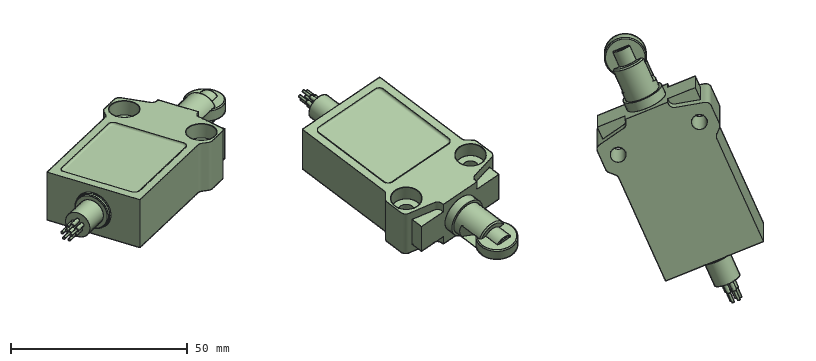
import cadquery as cq
import math


overall_length = 85.7
overall_width = 35.1
chamfer_angle = 45

housing_height = 16.0
housing_length = 49.1
housing_half_width = 15.1
ear_half_width = overall_width / 2
neck_half_width = 6.6
shoulder_neck_y = 47.15
ear_top_y = 44.7
ear_bottom_y = 36.8
corner_radius = 1.7
core_height = 10.0

hole_x = 12.5
hole_y = 40.1
hole_diameter = 4.5
counterbore_diameter = 8.75
counterbore_depth = 4.7
counterbore_chamfer = 0.1

recess_width = 25.1
recess_start_y = 2.6
recess_end_y = 32.6
recess_corner_radius = 1.55
recess_depth = 0.8
recess_floor_fillet = 0.73

collar_diameter = 11.9
collar_end_y = 51.95
plunger_diameter = 10.4
plunger_end_y = 62.4
plunger_chamfer = 0.4
tip_diameter = 6.9
tip_end_y = 67.4
tip_chamfer = 0.3
slot_width = 4.5
slot_edge_y = 54.35
slot_ridge_y = 57.4

roller_diameter = 11.9
roller_width = 3.95
roller_chamfer = 0.35
roller_y = 64.2
axle_diameter = 3.5

ferrule_base_diameter = 11.4
ferrule_diameter = 10.9
ferrule_end_diameter = 10.4
ferrule_length = 1.3
cable_diameter = 7.9
cable_length = 9.1
wire_count = 5
wire_circle_diameter = 3.0
insulation_diameter = 1.3
insulation_length = 12.4
conductor_diameter = 0.79
conductor_length = overall_length - (roller_y + roller_diameter / 2)


def rod(diameter, start_y, end_y, x=0, z=0):
    """Cylinder along +Y from start_y to end_y."""
    workplane = cq.Workplane("XZ", origin=(x, start_y, z))
    return workplane.circle(diameter / 2).extrude(start_y - end_y)


def centred_plate(outline, height):
    """Extrude an outline drawn at Z = 0 to a plate centred on Z = 0."""
    return outline.extrude(height).translate((0, 0, -height / 2))


def eared_block():
    """Full-height block with two ears and sloping shoulders."""
    ear_bottom_end_y = ear_bottom_y - (ear_half_width - housing_half_width)
    half_outline = [
        (housing_half_width, 0),
        (housing_half_width, ear_bottom_end_y),
        (ear_half_width, ear_bottom_y),
        (ear_half_width, ear_top_y),
        (neck_half_width, shoulder_neck_y),
        (neck_half_width, housing_length),
    ]
    mirrored = [(-x, y) for x, y in reversed(half_outline)]
    block = centred_plate(cq.Workplane("XY").polyline(half_outline + mirrored).close(), housing_height)
    rounded_corners = [corner for corner in half_outline + mirrored if 0 < corner[1] < housing_length]
    for x, y in rounded_corners:
        corner_edge = cq.selectors.NearestToPointSelector((x, y, 0))
        block = block.edges("|Z").edges(corner_edge).fillet(corner_radius)
    return block


def core_block():
    """Lower-height rectangular core that fills the space beside the neck."""
    return cq.Workplane("XY").box(
        2 * housing_half_width, housing_length, core_height, centered=(True, False, True)
    )


def mounting_holes():
    """Counterbored through holes with lightly chamfered rims."""
    centres = [(-hole_x, hole_y), (hole_x, hole_y)]
    through = centred_plate(cq.Workplane("XY").pushPoints(centres).circle(hole_diameter / 2), housing_height)
    counterbores = (
        cq.Workplane("XY", origin=(0, 0, housing_height / 2))
        .pushPoints(centres)
        .circle(counterbore_diameter / 2)
        .extrude(-counterbore_depth)
    )
    rim_chamfers = (
        cq.Workplane("XY", origin=(0, 0, housing_height / 2 - counterbore_chamfer))
        .pushPoints(centres)
        .circle(counterbore_diameter / 2)
        .extrude(counterbore_chamfer, taper=-chamfer_angle)
    )
    return through.union(counterbores).union(rim_chamfers)


def label_recess():
    """Shallow rounded recess whose walls curve into its floor."""
    length = recess_end_y - recess_start_y
    middle_y = (recess_start_y + recess_end_y) / 2
    return (
        cq.Workplane("XY", origin=(0, middle_y, housing_height / 2 - recess_depth))
        .rect(recess_width, length)
        .extrude(recess_depth)
        .edges("|Z")
        .fillet(recess_corner_radius)
        .faces("<Z")
        .edges()
        .fillet(recess_floor_fillet)
    )


def fork_slot():
    """Slot for the roller; its floor falls from a ridge at X = 0 to both sides."""
    half_width = plunger_diameter / 2
    slot = (
        cq.Workplane("XY")
        .moveTo(-half_width, slot_edge_y)
        .lineTo(0, slot_ridge_y)
        .lineTo(half_width, slot_edge_y)
        .lineTo(half_width, tip_end_y)
        .lineTo(-half_width, tip_end_y)
        .close()
    )
    return centred_plate(slot, slot_width)


def roller_axis_disc(diameter, width):
    """Disc centred on the roller's axis."""
    return centred_plate(cq.Workplane("XY").center(0, roller_y).circle(diameter / 2), width)


def plunger():
    """Collared plunger with a forked end, bridged by the roller's axle."""
    collar = rod(collar_diameter, housing_length, collar_end_y)
    shaft = rod(plunger_diameter, collar_end_y, plunger_end_y).faces(">Y").chamfer(plunger_chamfer)
    tip = rod(tip_diameter, plunger_end_y, tip_end_y).faces(">Y").chamfer(tip_chamfer)
    axle = roller_axis_disc(axle_diameter, slot_width)
    return collar.union(shaft).union(tip).cut(fork_slot()).union(axle)


def cable():
    """Ferrule, sheath and a ring of stripped wires."""
    base_chamfer = (ferrule_base_diameter - ferrule_diameter) / 2
    end_chamfer = (ferrule_diameter - ferrule_end_diameter) / 2
    base_outline = cq.Workplane("XZ").circle(ferrule_base_diameter / 2)
    ferrule_base = base_outline.extrude(base_chamfer, taper=chamfer_angle)
    ferrule = rod(ferrule_diameter, 0, -ferrule_length).faces("<Y").chamfer(end_chamfer)
    sheath = rod(cable_diameter, -ferrule_length, -cable_length)
    assembly = ferrule_base.union(ferrule).union(sheath)
    for index in range(wire_count):
        angle = math.pi / 2 + index * 2 * math.pi / wire_count
        x = wire_circle_diameter / 2 * math.cos(angle)
        z = wire_circle_diameter / 2 * math.sin(angle)
        assembly = assembly.union(rod(insulation_diameter, -cable_length, -insulation_length, x, z))
        assembly = assembly.union(rod(conductor_diameter, -insulation_length, -conductor_length, x, z))
    return assembly


def make_switch():
    """Housing with its plunger, axle and cable, as one solid."""
    housing = eared_block().union(core_block()).cut(mounting_holes()).cut(label_recess())
    return housing.union(plunger()).union(cable())


def make_roller():
    """Roller with a bore that fits the axle."""
    disc = roller_axis_disc(roller_diameter, roller_width)
    bore = roller_axis_disc(axle_diameter, roller_width)
    return disc.edges().chamfer(roller_chamfer).cut(bore)


switch = make_switch()
roller = make_roller()
result = cq.Compound.makeCompound([switch.val(), roller.val()])